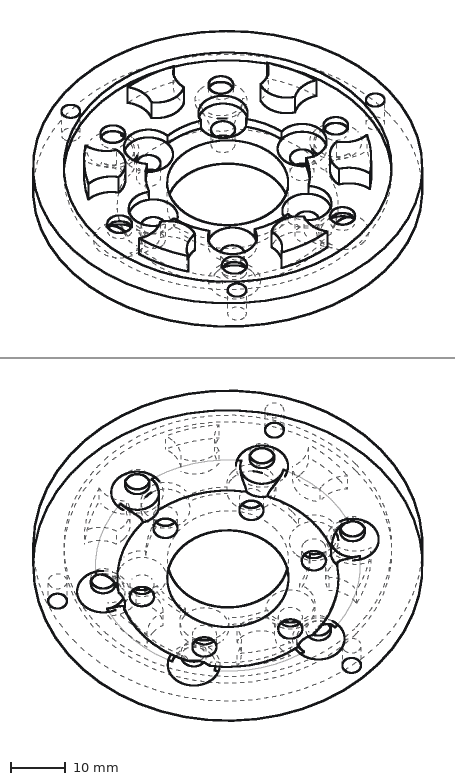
import cadquery as cq
import math

hub_height = 4.0
plate_thickness = 6.0
step = 2.0
plate_top = hub_height + plate_thickness
recess_floor = plate_top - step
inner_floor = recess_floor - step
pad_top = plate_top + step

plate_diameter = 71.4
recess_diameter = 60.1
inner_recess_diameter = 30.1
bore_diameter = 22.2
hub_diameter = 40.55

pattern_angle = -4.6
pattern_count = 6
rim_hole_count = 3

screw_radius = 16.3
screw_hole_diameter = 4.4
screw_head_diameter = 9.0

bolt_radius = 23.6
bolt_hole_diameter = 4.6
bolt_head_diameter = 9.6
bolt_clearance_diameter = 8.0

rim_hole_radius = 32.3
rim_hole_diameter = 3.4
rim_hole_start = 60.0

pad_outer_radius = 26.35
pad_outer_half_width = 5.1
pad_neck_half_width = 3.35
pad_neck_distance = 22.1
pad_head_half_width = 3.6
pad_head_distance = 20.2
pad_inner_distance = 18.8
pad_start = 30.0


def ring_points(radius, count, start=0.0):
    """Points evenly spaced on a circle, turned by the pattern offset."""
    angles = [math.radians(pattern_angle + start + i * 360 / count) for i in range(count)]
    return [(radius * math.cos(a), radius * math.sin(a)) for a in angles]


def cylinders(points, diameter, bottom, top):
    """Vertical cylinders between two levels."""
    plane = cq.Workplane("XY").workplane(offset=bottom)
    return plane.pushPoints(points).circle(diameter / 2).extrude(top - bottom)


def make_body():
    """Plate on a hub, with a quarter-round flare joining the two."""
    plate_radius = plate_diameter / 2
    hub_radius = hub_diameter / 2
    flare_middle = hub_height * (1 - math.sqrt(0.5))
    return (
        cq.Workplane("XZ")
        .moveTo(0, 0)
        .lineTo(hub_radius, 0)
        .threePointArc(
            (hub_radius + flare_middle, hub_height - flare_middle),
            (hub_radius + hub_height, hub_height),
        )
        .lineTo(plate_radius, hub_height)
        .lineTo(plate_radius, plate_top)
        .lineTo(0, plate_top)
        .close()
        .revolve(360, (0, 0, 0), (0, 1, 0))
    )


def cones(points, bottom_diameter, top_diameter, bottom):
    """Upright 45 degree cones starting at the given level."""
    height = abs(top_diameter - bottom_diameter) / 2
    cone = cq.Solid.makeCone(bottom_diameter / 2, top_diameter / 2, height, cq.Vector(0, 0, bottom))
    return cq.Workplane("XY").pushPoints(points).eachpoint(lambda place: cone.moved(place))


def make_screw_cuts():
    """Through holes countersunk from above, below a straight head clearance."""
    points = ring_points(screw_radius, pattern_count)
    cone_bottom = inner_floor - (screw_head_diameter - screw_hole_diameter) / 2
    holes = cylinders(points, screw_hole_diameter, 0, plate_top)
    heads = cylinders(points, screw_head_diameter, inner_floor, plate_top)
    sinks = cones(points, screw_hole_diameter, screw_head_diameter, cone_bottom)
    return holes.union(heads).union(sinks)


def make_bolt_cuts():
    """Holes countersunk from the plate underside, with narrower clearances cut through the flare."""
    points = ring_points(bolt_radius, pattern_count)
    holes = cylinders(points, bolt_hole_diameter, 0, plate_top)
    clearances = cylinders(points, bolt_clearance_diameter, 0, hub_height)
    heads = cones(points, bolt_head_diameter, bolt_hole_diameter, hub_height)
    return holes.union(clearances).union(heads)


def make_pad():
    """One flared pad centred on the +X axis."""
    outer_distance = math.sqrt(pad_outer_radius**2 - pad_outer_half_width**2)
    return (
        cq.Workplane("XY")
        .workplane(offset=recess_floor)
        .moveTo(outer_distance, -pad_outer_half_width)
        .threePointArc((pad_outer_radius, 0), (outer_distance, pad_outer_half_width))
        .threePointArc(
            (pad_neck_distance, pad_neck_half_width),
            (pad_head_distance, pad_head_half_width),
        )
        .threePointArc((pad_inner_distance, 0), (pad_head_distance, -pad_head_half_width))
        .threePointArc(
            (pad_neck_distance, -pad_neck_half_width),
            (outer_distance, -pad_outer_half_width),
        )
        .close()
        .extrude(pad_top - recess_floor)
    )


centre = [(0, 0)]
result = make_body()
result = result.cut(cylinders(centre, recess_diameter, recess_floor, plate_top))
result = result.cut(cylinders(centre, inner_recess_diameter, inner_floor, plate_top))
result = result.cut(cylinders(centre, bore_diameter, 0, plate_top))

result = result.cut(make_screw_cuts())
result = result.cut(make_bolt_cuts())
rim_points = ring_points(rim_hole_radius, rim_hole_count, rim_hole_start)
result = result.cut(cylinders(rim_points, rim_hole_diameter, 0, plate_top))

pad = make_pad()
for i in range(pattern_count):
    turn = pattern_angle + pad_start + i * 360 / pattern_count
    result = result.union(pad.rotate((0, 0, 0), (0, 0, 1), turn))